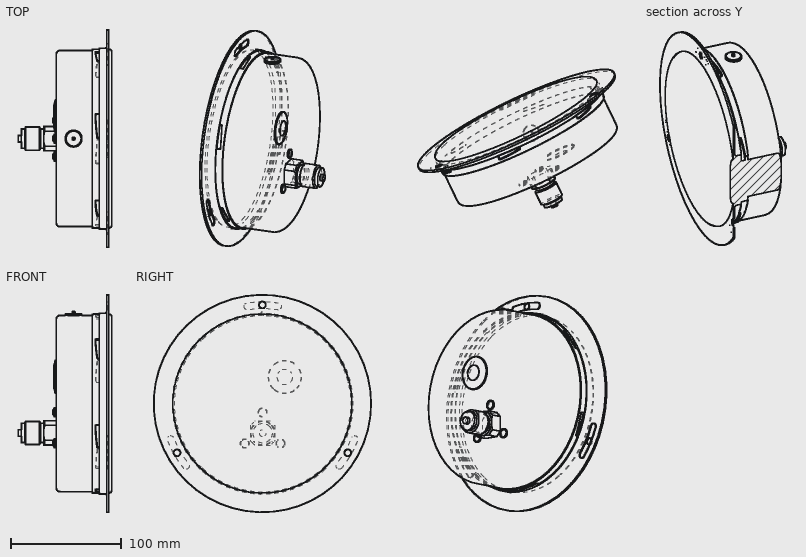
import cadquery as cq
import math


case_dia = 159.0
case_edge_radius = 3.5
band_dia = 161.3
band_start = 32.5
bezel_dia = 163.0
bezel_start = 39.0
bezel_root_radius = 1.2
front_dia = band_dia
front_end = 50.2

flange_dia = 196.0
flange_back = 45.5
flange_thickness = 2.0
front_edge_radius = front_end - flange_back - flange_thickness
mount_count = 3
mount_radius = 88.8
mount_hole_dia = 5.9
slot_width = 6.0
slot_depth = 1.0
slot_half_angle = 9.0

recess_count = 6
recess_sweep = 16.4
recess_wide_start = 34.7
recess_narrow_start = 36.5
recess_corner_radius = 1.4
recess_wall_taper = 25.0
recess_cut_depth = 4.0

stem_z = -26.5
stem_end = -34.3
pin_dia = 6.0
collar_dia = 17.5
collar_end = -31.4
thread_dia = 21.0
thread_end = -28.5
thread_start = -14.1
thread_chamfer_length = 1.0
square_size = 22.1
square_corner = 4.3
square_end = -11.4
square_edge_angle = 30.0

screw_count = 3
screw_circle_radius = 18.6
screw_neck_dia = 7.3
screw_neck_height = 0.5
screw_collar_dia = 8.2
screw_collar_height = 1.5
screw_height = 3.1

vent_y = 20.0
vent_z = 24.1
vent_dia = 30.0
vent_rim_height = 1.0
vent_rim_chamfer = 0.4
vent_top_dia = 17.5
vent_height = 2.4
vent_dish_dia = 14.0
vent_dish_depth = 0.2

plug_x = 15.7
plug_dia = 15.0
plug_height = 1.5
plug_chamfer = 0.8
nub_dia = 2.5
nub_height = 2.0
nub_chamfer = 0.5

embed = 2.0


def disc(start, end, diameter, y=0.0, z=0.0):
    """Cylinder along X between two X positions."""
    return (
        cq.Workplane("YZ", origin=(start, y, z))
        .circle(diameter / 2)
        .extrude(end - start)
    )


def turned_x(profile, y=0.0, z=0.0):
    """Revolve a closed (x, radius) profile about an axis along X."""
    return (
        cq.Workplane("XY", origin=(0, y, z))
        .polyline(profile)
        .close()
        .revolve(360, (0, 0, 0), (1, 0, 0))
    )


def make_housing():
    case = disc(0, bezel_start, case_dia).faces("<X").edges().fillet(case_edge_radius)
    band = disc(band_start, bezel_start, band_dia)
    bezel = disc(bezel_start, flange_back, bezel_dia)
    flange = disc(flange_back, flange_back + flange_thickness, flange_dia)
    root = (
        cq.Workplane("XY")
        .moveTo(flange_back - bezel_root_radius, 0)
        .lineTo(flange_back - bezel_root_radius, bezel_dia / 2)
        .radiusArc((flange_back, bezel_dia / 2 + bezel_root_radius), -bezel_root_radius)
        .lineTo(flange_back, 0)
        .close()
        .revolve(360, (0, 0, 0), (1, 0, 0))
    )
    front = disc(flange_back, front_end, front_dia).faces(">X").edges().fillet(front_edge_radius)
    return case.union(band).union(bezel).union(root).union(flange).union(front)


def make_mounting_cut():
    """Hole through the flange with a shallow curved slot around it, at the top."""
    hole = disc(flange_back, flange_back + flange_thickness, mount_hole_dia, z=mount_radius)
    outer_radius = mount_radius + slot_width / 2
    inner_radius = mount_radius - slot_width / 2

    def point(radius, angle):
        return radius * math.sin(math.radians(angle)), radius * math.cos(math.radians(angle))

    slot = (
        cq.Workplane("YZ", origin=(flange_back, 0, 0))
        .moveTo(*point(outer_radius, -slot_half_angle))
        .threePointArc(point(outer_radius, 0), point(outer_radius, slot_half_angle))
        .tangentArcPoint(point(inner_radius, slot_half_angle), relative=False)
        .threePointArc(point(inner_radius, 0), point(inner_radius, -slot_half_angle))
        .tangentArcPoint(point(outer_radius, -slot_half_angle), relative=False)
        .close()
        .extrude(slot_depth)
    )
    return hole.union(slot)


def make_band_recess():
    """Recess at the top of the band, wide at its +Y end and running under the bezel."""
    half_length = band_dia / 2 * math.sin(math.radians(recess_sweep / 2))
    beyond_bezel = bezel_start + embed
    outline = (
        cq.Sketch()
        .polygon([
            (recess_narrow_start, -half_length),
            (beyond_bezel, -half_length),
            (beyond_bezel, half_length),
            (recess_wide_start, half_length),
            (recess_narrow_start, -half_length),
        ])
        .vertices()
        .fillet(recess_corner_radius)
    )
    prism = (
        cq.Workplane("XY", origin=(0, 0, band_dia / 2))
        .placeSketch(outline)
        .extrude(-recess_cut_depth, taper=recess_wall_taper)
    )
    ring = disc(band_start, bezel_start, band_dia).cut(disc(band_start, bezel_start, case_dia))
    return prism.intersect(ring)


def make_stem():
    pin = disc(stem_end, 0, pin_dia, z=stem_z)
    collar = disc(collar_end, 0, collar_dia, z=stem_z)
    thread = turned_x(
        [
            (thread_end, 0),
            (thread_end, collar_dia / 2),
            (thread_end + thread_chamfer_length, thread_dia / 2),
            (thread_start - thread_chamfer_length, thread_dia / 2),
            (thread_start, collar_dia / 2),
            (thread_start, 0),
        ],
        z=stem_z,
    )
    square = (
        cq.Workplane("YZ", origin=(square_end, 0, stem_z))
        .rect(square_size, square_size)
        .extrude(embed - square_end)
        .edges("|X")
        .chamfer(square_corner)
    )
    cone_rise = embed - square_end
    cone_radius = square_size / 2 + cone_rise / math.tan(math.radians(square_edge_angle))
    cone = turned_x(
        [(square_end, 0), (square_end, square_size / 2), (embed, cone_radius), (embed, 0)],
        z=stem_z,
    )
    return pin.union(collar).union(thread).union(square.intersect(cone))


def make_screw(angle):
    y = screw_circle_radius * math.sin(math.radians(angle))
    z = stem_z + screw_circle_radius * math.cos(math.radians(angle))
    neck = disc(-screw_collar_height, embed, screw_neck_dia, y, z)
    collar = disc(-screw_collar_height, -screw_neck_height, screw_collar_dia, y, z)
    dome_base_radius = screw_neck_dia / 2
    dome_rise = screw_height - screw_collar_height
    dome_radius = (dome_rise**2 + dome_base_radius**2) / (2 * dome_rise)
    dome = (
        cq.Workplane("XY", origin=(-screw_collar_height, y, z))
        .lineTo(0, dome_base_radius)
        .radiusArc((-dome_rise, 0), -dome_radius)
        .close()
        .revolve(360, (0, 0, 0), (1, 0, 0))
    )
    return neck.union(collar).union(dome)


def make_vent():
    return turned_x(
        [
            (embed, 0),
            (embed, vent_dia / 2),
            (vent_rim_chamfer - vent_rim_height, vent_dia / 2),
            (-vent_rim_height, vent_dia / 2 - vent_rim_chamfer),
            (-vent_height, vent_top_dia / 2),
            (-vent_height, vent_dish_dia / 2),
            (vent_dish_depth - vent_height, vent_dish_dia / 2),
            (vent_dish_depth - vent_height, 0),
        ],
        vent_y,
        vent_z,
    )


def make_plug():
    case_top = case_dia / 2
    plug = (
        cq.Workplane("XY", origin=(plug_x, 0, case_top - embed))
        .circle(plug_dia / 2)
        .extrude(embed + plug_height)
        .faces(">Z")
        .chamfer(plug_chamfer)
    )
    nub = (
        cq.Workplane("XY", origin=(plug_x, 0, case_top + plug_height))
        .circle(nub_dia / 2)
        .extrude(nub_height)
        .faces(">Z")
        .chamfer(nub_chamfer)
    )
    return plug.union(nub)


result = make_housing().union(make_stem()).union(make_vent()).union(make_plug())

for index in range(screw_count):
    result = result.union(make_screw(index * 360 / screw_count))

mounting_cut = make_mounting_cut()
for index in range(mount_count):
    result = result.cut(mounting_cut.rotate((0, 0, 0), (1, 0, 0), index * 360 / mount_count))

band_recess = make_band_recess()
for index in range(recess_count):
    angle = -recess_sweep / 2 + index * 360 / recess_count
    result = result.cut(band_recess.rotate((0, 0, 0), (1, 0, 0), angle))